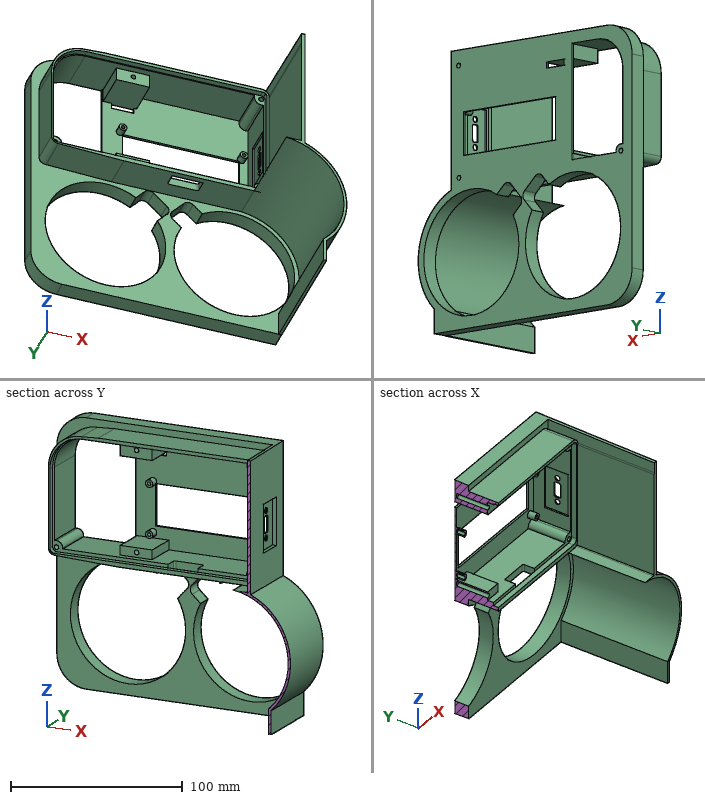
import cadquery as cq
import math

WIDTH = 168.5
HEIGHT = 165.7
PLATE_DEPTH = 10.0
TOTAL_DEPTH = 85.0
CORNER_R = 19.5
DRAFT = 1.2

CUP_Z = 44.7
RIGHT_CUP_X = 126.5
LEFT_CUP_X = 46.5
CUP_R = 37.4
SLEEVE_WALL = 1.9
SLEEVE_OUTER_R = WIDTH - RIGHT_CUP_X
SLEEVE_INNER_R = SLEEVE_OUTER_R - SLEEVE_WALL
NOTCH_WIDTH = 18.9
NOTCH_CORNER_R = 3.9
NOTCH_LENGTH = 25.3
LEFT_NOTCH = (47.7, 48.7, -1.7)
RIGHT_NOTCH = (137.7, 47.5, -0.5)

WALL_OUTER_X = 142.5
WALL_INNER_X = 140.4
FOOT_OUTER_X = 155.9
FOOT_INNER_X = FOOT_OUTER_X - SLEEVE_WALL
LEDGE_TIP_X = 131.0
LEDGE_Z = CUP_Z + math.sqrt(SLEEVE_INNER_R ** 2 - (LEDGE_TIP_X - RIGHT_CUP_X) ** 2)
PAD_THICKNESS = 0.2
PAD_TOP = 155.7
PAD_RUNOUT = 1.2

BOX_FRONT = 31.0
LID_DEPTH = 3.5
LID_SEAT = BOX_FRONT - LID_DEPTH
BOX_LEFT = 5.2
BOX_TOP = 161.3
BOX_TOP_R = 5.0
BOX_BOTTOM_R = 3.9
BOX_LEFT_BOTTOM = 86.1
BOX_LEFT_BOTTOM_R = 4.2
BOX_LEFT_TOP = 160.6
BOX_LEFT_TOP_R = 21.4
BOTTOM_SLOPE_END = 50.2
TOP_SLOPE_END = 37.7
RECESS = (6.2, 139.0, 87.3, 159.0)
RECESS_LARGE_R = 20.9
RECESS_SMALL_R = 2.9
CAVITY_LEFT = 7.4
CAVITY_RIGHT = 138.0
CAVITY_BOTTOM = 89.5
CAVITY_TOP = 158.4
CAVITY_R = 19.9

PANEL_LEFT = 47.4
PANEL_DEPTH = 1.5
WINDOW = (60.3, 132.8, 102.8, 128.5)
CARD_SLOT = (53.5, 67.2, 146.3, 149.8)
STANDOFF_X = (58.6, 133.8)
STANDOFF_Z = (98.8, 129.8)
STANDOFF_DIA = 4.7
STANDOFF_HOLE_DIA = 2.0
STANDOFF_END = 6.7

SCREW_DIA = 2.9
LID_BOSS_R = 4.0
LID_BOSSES = (
    ((8.8, 90.0), (CAVITY_LEFT, CAVITY_BOTTOM)),
    ((136.3, 90.0), (CAVITY_RIGHT, CAVITY_BOTTOM)),
    ((136.7, 156.4), (CAVITY_RIGHT, CAVITY_TOP)),
)

BLOCK_LEFT = 48.2
BLOCK_RIGHT = 69.0
BLOCK_END = 23.5
LOWER_BLOCK_TOP = 95.4
WEDGE_TOP = 93.5
WEDGE_END = 18.0
UPPER_BLOCK_BOTTOM = 149.8
BLOCK_SCREW_X = 58.8
BLOCK_SCREW_Z = (92.5, 154.7)

CABLE_SLOT_LEFT = 81.4
CABLE_SLOT_RIGHT = 100.6
CABLE_SLOT_BACK = 19.5
CABLE_SLOT_CORNER = 1.0

PORT_Y = -17.4
PORT_Z = 119.0
PORT_POCKET = (16.7, 29.7)
PORT_POCKET_DEPTH = 1.2
PORT_WEB = 0.8
PORT_OPENING = (4.7, 10.5)
PORT_OPENING_R = 1.3
PORT_SCREW_DIA = 3.5
PORT_SCREW_PITCH = 16.7


def prism(outline, start, end):
    """Extrude a closed XZ outline from depth start to depth end."""
    return outline.extrude(end - start).translate((0, -start, 0))


def block(left, right, bottom, top, start, end):
    size = (right - left, end - start, top - bottom)
    return cq.Workplane("XY").box(*size, centered=False).translate((left, -end, bottom))


def rod(x, z, radius, start, end):
    return prism(cq.Workplane("XZ").center(x, z).circle(radius), start, end)


def on_sleeve(radius, angle):
    """Point on a circle around the right cup axis."""
    return (RIGHT_CUP_X + radius * math.cos(angle), CUP_Z + radius * math.sin(angle))


def angle_at_x(radius, x):
    return math.acos((x - RIGHT_CUP_X) / radius)


outer_top = angle_at_x(SLEEVE_OUTER_R, WALL_OUTER_X)
outer_bottom = -angle_at_x(SLEEVE_OUTER_R, FOOT_OUTER_X)
inner_top = angle_at_x(SLEEVE_INNER_R, LEDGE_TIP_X)
inner_bottom = -angle_at_x(SLEEVE_INNER_R, FOOT_INNER_X)


def right_edge(sketch):
    """Continue an outline from the wall top down the right side to the foot."""
    return (
        sketch.lineTo(*on_sleeve(SLEEVE_OUTER_R, outer_top))
        .threePointArc((WIDTH, CUP_Z), on_sleeve(SLEEVE_OUTER_R, outer_bottom))
        .lineTo(FOOT_OUTER_X, 0)
    )


def plate():
    overrun = WIDTH + 16.9
    drafted = (
        cq.Workplane("XZ").moveTo(overrun, 0)
        .lineTo(CORNER_R, 0)
        .radiusArc((0, CORNER_R), CORNER_R)
        .lineTo(0, HEIGHT - CORNER_R)
        .radiusArc((CORNER_R, HEIGHT), CORNER_R)
        .lineTo(overrun, HEIGHT)
        .close()
        .extrude(PLATE_DEPTH, taper=DRAFT)
    )
    trim = right_edge(cq.Workplane("XZ").moveTo(0, HEIGHT).lineTo(WALL_OUTER_X, HEIGHT))
    return drafted.intersect(prism(trim.lineTo(0, 0).close(), 0, PLATE_DEPTH))


def side_wall():
    outline = right_edge(
        cq.Workplane("XZ").moveTo(WALL_INNER_X, HEIGHT).lineTo(WALL_OUTER_X, HEIGHT)
    )
    outline = (
        outline.lineTo(FOOT_INNER_X, 0)
        .lineTo(*on_sleeve(SLEEVE_INNER_R, inner_bottom))
        .threePointArc((RIGHT_CUP_X + SLEEVE_INNER_R, CUP_Z), on_sleeve(SLEEVE_INNER_R, inner_top))
        .lineTo(WALL_INNER_X - PAD_RUNOUT, LEDGE_Z)
        .lineTo(WALL_INNER_X - PAD_THICKNESS, LEDGE_Z + PAD_THICKNESS)
        .lineTo(WALL_INNER_X - PAD_THICKNESS, PAD_TOP)
        .lineTo(WALL_INNER_X, PAD_TOP + PAD_RUNOUT)
        .close()
    )
    front_height = HEIGHT - TOTAL_DEPTH * math.tan(math.radians(DRAFT))
    sloped_top = (
        cq.Workplane("YZ")
        .polyline([(0, 0), (0, HEIGHT), (-TOTAL_DEPTH, front_height), (-TOTAL_DEPTH, 0)])
        .close().extrude(WIDTH)
    )
    return prism(outline, PLATE_DEPTH, TOTAL_DEPTH).intersect(sloped_top)


def box_body():
    left_bottom_z = BOX_LEFT_BOTTOM + BOX_LEFT_BOTTOM_R
    left_top_z = BOX_LEFT_TOP - BOX_LEFT_TOP_R
    outline = (
        cq.Workplane("XZ").moveTo(BOX_LEFT, left_bottom_z)
        .lineTo(BOX_LEFT, left_top_z)
        .radiusArc((BOX_LEFT + BOX_LEFT_TOP_R, BOX_LEFT_TOP), BOX_LEFT_TOP_R)
        .lineTo(TOP_SLOPE_END, BOX_TOP)
        .lineTo(WALL_INNER_X - BOX_TOP_R, BOX_TOP)
        .radiusArc((WALL_INNER_X, BOX_TOP - BOX_TOP_R), BOX_TOP_R)
        .lineTo(WALL_INNER_X, LEDGE_Z + BOX_BOTTOM_R)
        .radiusArc((WALL_INNER_X - BOX_BOTTOM_R, LEDGE_Z), BOX_BOTTOM_R)
        .lineTo(BOTTOM_SLOPE_END, LEDGE_Z)
        .lineTo(BOX_LEFT + BOX_LEFT_BOTTOM_R, BOX_LEFT_BOTTOM)
        .radiusArc((BOX_LEFT, left_bottom_z), BOX_LEFT_BOTTOM_R)
        .close()
    )
    return prism(outline, PLATE_DEPTH / 2, BOX_FRONT)


def lid_recess():
    recess = block(*RECESS, LID_SEAT, BOX_FRONT)
    recess = recess.edges("|Y and <X and >Z").fillet(RECESS_LARGE_R)
    return recess.edges("|Y and (>X or (<X and <Z))").fillet(RECESS_SMALL_R)


def cavity():
    room = block(CAVITY_LEFT, CAVITY_RIGHT, CAVITY_BOTTOM, CAVITY_TOP, 0, BOX_FRONT)
    return room.edges("|Y and <X and >Z").fillet(CAVITY_R)


def cup_opening(x, notch_angle, notch_end, notch_offset):
    """Round opening with a rounded notch pointing along notch_angle."""
    notch = (
        cq.Workplane("XY").box(NOTCH_LENGTH, PLATE_DEPTH, NOTCH_WIDTH)
        .edges("|Y and >X").fillet(NOTCH_CORNER_R)
        .translate((notch_end - NOTCH_LENGTH / 2, -PLATE_DEPTH / 2, notch_offset))
        .rotate((0, 0, 0), (0, 1, 0), -notch_angle)
        .translate((x, 0, CUP_Z))
    )
    return rod(x, CUP_Z, CUP_R, 0, PLATE_DEPTH).union(notch)


def lid_boss(screw, corner):
    """Corner boss: a rod filled out to the two cavity walls beside it."""
    (x, z), (corner_x, corner_z) = screw, corner
    to_side = block(*sorted((x, corner_x)), z - LID_BOSS_R, z + LID_BOSS_R, 0, LID_SEAT)
    to_floor = block(x - LID_BOSS_R, x + LID_BOSS_R, *sorted((z, corner_z)), 0, LID_SEAT)
    boss = rod(x, z, LID_BOSS_R, 0, LID_SEAT).union(to_side).union(to_floor)
    return boss.intersect(cavity())


def block_wedge():
    """Wedge that tapers from the panel edge to the side of the lower block."""
    plan = [(PANEL_LEFT, -PANEL_DEPTH), (BLOCK_LEFT, -PANEL_DEPTH), (BLOCK_LEFT, -WEDGE_END)]
    wedge = cq.Workplane("XY").polyline(plan).close().extrude(WEDGE_TOP - CAVITY_BOTTOM)
    return wedge.translate((0, 0, CAVITY_BOTTOM))


def cable_slot():
    slot = block(
        CABLE_SLOT_LEFT, CABLE_SLOT_RIGHT, LEDGE_Z, CAVITY_BOTTOM, CABLE_SLOT_BACK, LID_SEAT
    )
    return slot.edges("|Z and >Y").fillet(CABLE_SLOT_CORNER)


def connector_port():
    """Recesses on both sides of the wall, joined by an opening and two screw holes."""
    face = cq.Workplane("YZ")
    depth = WALL_OUTER_X - CAVITY_RIGHT
    web_end = PORT_POCKET_DEPTH + PORT_WEB
    inner_pocket = face.rect(*PORT_POCKET).extrude(PORT_POCKET_DEPTH)
    outer_pocket = face.workplane(offset=web_end).rect(*PORT_POCKET).extrude(depth - web_end)
    opening = face.rect(*PORT_OPENING).extrude(depth).edges("|X").fillet(PORT_OPENING_R)
    half_pitch = PORT_SCREW_PITCH / 2
    screws = face.pushPoints([(0, -half_pitch), (0, half_pitch)]).circle(PORT_SCREW_DIA / 2).extrude(depth)
    port = inner_pocket.union(outer_pocket).union(opening).union(screws)
    return port.translate((CAVITY_RIGHT, PORT_Y, PORT_Z))


body = plate().union(side_wall()).union(box_body())
body = body.cut(cavity()).cut(lid_recess())
body = body.cut(cup_opening(LEFT_CUP_X, *LEFT_NOTCH))
body = body.cut(cup_opening(RIGHT_CUP_X, *RIGHT_NOTCH))

body = body.union(block(PANEL_LEFT, CAVITY_RIGHT, CAVITY_BOTTOM, CAVITY_TOP, 0, PANEL_DEPTH))
body = body.cut(block(*WINDOW, 0, PANEL_DEPTH)).cut(block(*CARD_SLOT, 0, PANEL_DEPTH))
body = body.union(block(BLOCK_LEFT, BLOCK_RIGHT, CAVITY_BOTTOM, LOWER_BLOCK_TOP, PANEL_DEPTH, BLOCK_END))
body = body.union(block(BLOCK_LEFT, BLOCK_RIGHT, UPPER_BLOCK_BOTTOM, CAVITY_TOP, PANEL_DEPTH, BLOCK_END))
body = body.union(block_wedge())
for screw_z in BLOCK_SCREW_Z:
    body = body.cut(rod(BLOCK_SCREW_X, screw_z, SCREW_DIA / 2, PANEL_DEPTH, BLOCK_END))

for standoff_x in STANDOFF_X:
    for standoff_z in STANDOFF_Z:
        body = body.union(rod(standoff_x, standoff_z, STANDOFF_DIA / 2, PANEL_DEPTH, STANDOFF_END))
        body = body.cut(rod(standoff_x, standoff_z, STANDOFF_HOLE_DIA / 2, PANEL_DEPTH, STANDOFF_END))

for screw, corner in LID_BOSSES:
    body = body.union(lid_boss(screw, corner))
    body = body.cut(rod(*screw, SCREW_DIA / 2, 0, LID_SEAT))

result = body.cut(cable_slot()).cut(connector_port())